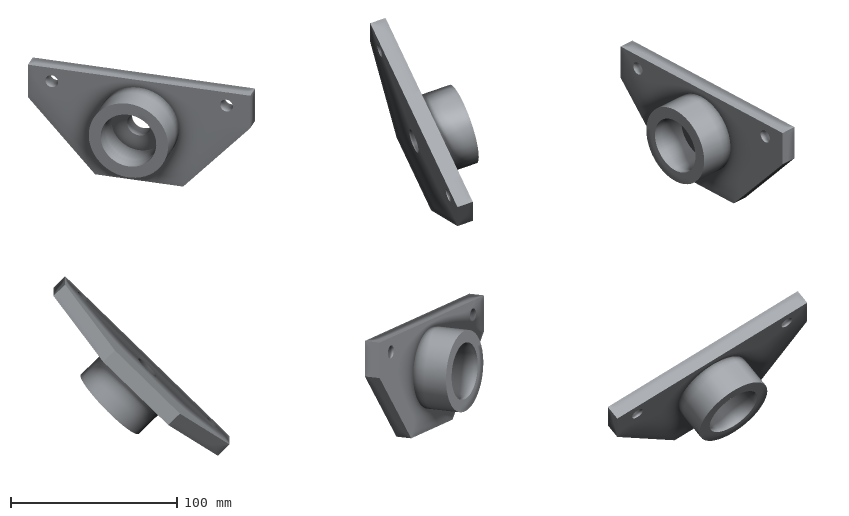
import cadquery as cq

plate_width = 140.0
plate_height = 68.0
plate_thickness = 10.0
side_height = 22.0
bottom_width = 55.5

boss_diameter = 50.0
boss_length = 22.1
boss_drop = 30.0
bore_diameter = 35.0
bore_depth = boss_length
through_diameter = 15.0

mount_diameter = 8.0
mount_spacing = 110.0
mount_drop = 9.0

top_z = boss_drop
bottom_z = top_z - plate_height
shoulder_z = top_z - side_height
mount_z = top_z - mount_drop


def cylinder(diameter, start_y, length, x=0.0, z=0.0):
    """Cylinder along +Y, starting at start_y."""
    return cq.Workplane(cq.Solid.makeCylinder(
        diameter / 2, length, cq.Vector(x, start_y, z), cq.Vector(0, 1, 0)))


outline = [
    (-plate_width / 2, top_z),
    (plate_width / 2, top_z),
    (plate_width / 2, shoulder_z),
    (bottom_width / 2, bottom_z),
    (-bottom_width / 2, bottom_z),
    (-plate_width / 2, shoulder_z),
]
plate = cq.Workplane("XZ").polyline(outline).close().extrude(-plate_thickness)

result = plate.union(cylinder(boss_diameter, -boss_length, boss_length))
result = result.cut(cylinder(bore_diameter, -boss_length, bore_depth))
result = result.cut(cylinder(through_diameter, -boss_length, boss_length + plate_thickness))

for side in (-1, 1):
    result = result.cut(
        cylinder(mount_diameter, 0, plate_thickness, side * mount_spacing / 2, mount_z))